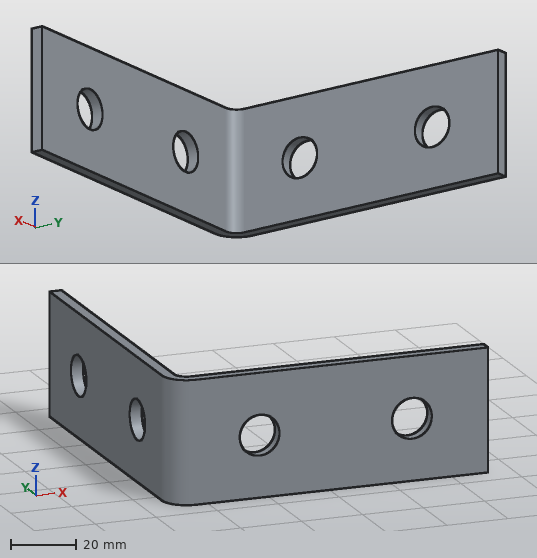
import cadquery as cq

leg_length = 104.0
width = 40.0
thickness = 4.0
inner_radius = 4.0
outer_radius = inner_radius + thickness

hole_diameter = 13.0
hole_end_distance = 25.0
hole_spacing = 50.0
hole_height = width / 2
far_hole = leg_length - hole_end_distance
hole_positions = (far_hole - hole_spacing, far_hole)


def bent_strip():
    """L-shaped strip with concentric inner and outer bend radii."""
    outer_block = cq.Workplane("XY").box(leg_length, leg_length, width, centered=False)
    outer_block = outer_block.edges("|Z and <X and <Y").fillet(outer_radius)
    inner_side = leg_length - thickness
    inner_block = cq.Workplane("XY").box(inner_side, inner_side, width, centered=False)
    inner_block = inner_block.edges("|Z and <X and <Y").fillet(inner_radius)
    return outer_block.cut(inner_block.translate((thickness, thickness, 0)))


def hole_cutter(start, direction):
    """Cylinder that passes through the thickness of one leg."""
    return cq.Workplane(
        obj=cq.Solid.makeCylinder(
            hole_diameter / 2, thickness, cq.Vector(*start), cq.Vector(*direction)
        )
    )


result = bent_strip()
for position in hole_positions:
    result = result.cut(hole_cutter((position, 0, hole_height), (0, 1, 0)))
    result = result.cut(hole_cutter((0, position, hole_height), (1, 0, 0)))